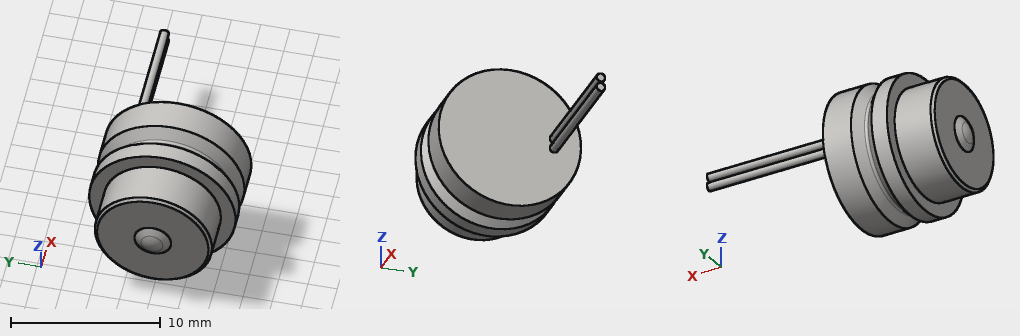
import cadquery as cq
import math


nose_radius = 4.0
nose_length = 3.0
nose_chamfer = 0.2
body_radius = 5.0
body_length = 5.0
body_back = nose_length + body_length

groove_width = 1.6
groove_to_back = 3.0
groove_center = body_back - groove_to_back
groove_root_radius = 0.2

dome_height = 0.5
dome_radius = 1.25
cap_radius = 0.75
cap_sphere_radius = 1.5
dome_overlap = 0.2

wire_diameter = 0.6
wire_length = 10.0
wire_spacing = 0.7
wire_offset_y = 3.1


def make_body():
    """Revolve the stepped outline of nose, body and V groove."""
    half_width = groove_width / 2
    tangent_offset = groove_root_radius * math.sin(math.radians(45))
    flank_end_radius = body_radius - (half_width - tangent_offset)
    sharp_root_radius = body_radius - half_width
    root_radius = sharp_root_radius + groove_root_radius * (math.sqrt(2) - 1)

    outline = (
        cq.Workplane("XZ")
        .moveTo(0, 0)
        .lineTo(0, nose_radius - nose_chamfer)
        .lineTo(nose_chamfer, nose_radius)
        .lineTo(nose_length, nose_radius)
        .lineTo(nose_length, body_radius)
        .lineTo(groove_center - half_width, body_radius)
        .lineTo(groove_center - tangent_offset, flank_end_radius)
        .threePointArc(
            (groove_center, root_radius),
            (groove_center + tangent_offset, flank_end_radius),
        )
        .lineTo(groove_center + half_width, body_radius)
        .lineTo(body_back, body_radius)
        .lineTo(body_back, 0)
        .close()
    )
    return outline.revolve(360, (0, 0, 0), (1, 0, 0))


def make_dome():
    """Revolve the spherical cap and its conical skirt."""
    tip_x = -dome_height
    sphere_center_x = tip_x + cap_sphere_radius
    cap_angle = math.asin(cap_radius / cap_sphere_radius)
    cap_edge_x = sphere_center_x - cap_sphere_radius * math.cos(cap_angle)
    cap_middle = (
        sphere_center_x - cap_sphere_radius * math.cos(cap_angle / 2),
        cap_sphere_radius * math.sin(cap_angle / 2),
    )
    outline = (
        cq.Workplane("XZ")
        .moveTo(tip_x, 0)
        .threePointArc(cap_middle, (cap_edge_x, cap_radius))
        .lineTo(0, dome_radius)
        .lineTo(dome_overlap, dome_radius)
        .lineTo(dome_overlap, 0)
        .close()
    )
    return outline.revolve(360, (0, 0, 0), (1, 0, 0))


def make_wires():
    """Two parallel wires, side by side in Z."""
    return (
        cq.Workplane("YZ", origin=(body_back, 0, 0))
        .pushPoints([(wire_offset_y, side * wire_spacing / 2) for side in (-1, 1)])
        .circle(wire_diameter / 2)
        .extrude(wire_length)
    )


result = make_body().union(make_dome()).union(make_wires())